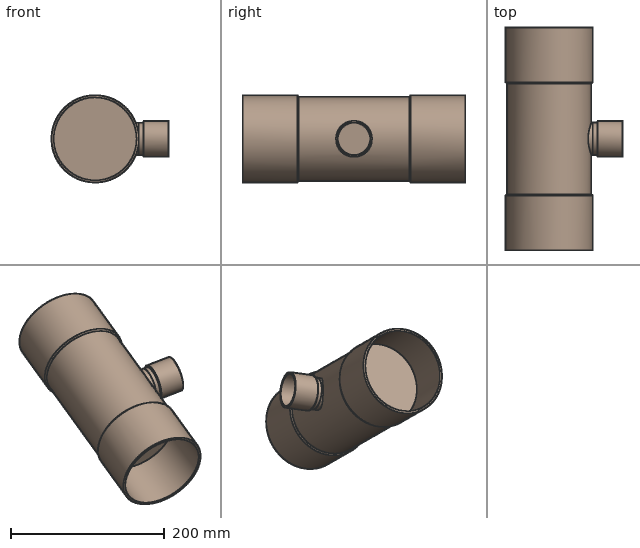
import cadquery as cq

overall_length = 290.0
pipe_diameter = 110.0
socket_diameter = 114.0
socket_bore_diameter = 108.0
socket_length = 73.0
socket_depth = 69.0
socket_chamfer = (socket_diameter - pipe_diameter) / 2

overall_width = 152.5
branch_reach = overall_width - socket_diameter / 2
neck_diameter = 42.0
collar_diameter = 42.5
collar_start = socket_diameter / 2
branch_socket_diameter = 47.0
branch_bore_diameter = 42.0
branch_socket_length = 33.0
branch_socket_depth = 32.2
branch_chamfer = 1.02


def cylinder(diameter, start, end):
    """Cylinder along Z between two heights."""
    return cq.Workplane("XY").workplane(offset=start).circle(diameter / 2).extrude(end - start)


def socket(diameter, start, end, chamfer):
    """Cylinder along Z, chamfered around the outside of its inner end."""
    return cylinder(diameter, start, end).faces("<Z").chamfer(chamfer)


def make_pipe_half():
    """One half of the main pipe, from its middle to the open socket at -Y."""
    end = overall_length / 2
    half = cylinder(pipe_diameter, 0, end)
    half = half.union(socket(socket_diameter, end - socket_length, end, socket_chamfer))
    half = half.cut(cylinder(socket_bore_diameter, end - socket_depth, end))
    return half.rotate((0, 0, 0), (1, 0, 0), 90)


def make_branch():
    """Neck, slightly wider collar and blind-bored socket."""
    socket_start = branch_reach - branch_socket_length
    branch = cylinder(neck_diameter, 0, collar_start)
    branch = branch.union(cylinder(collar_diameter, collar_start, branch_reach))
    branch = branch.union(socket(branch_socket_diameter, socket_start, branch_reach, branch_chamfer))
    branch = branch.cut(cylinder(branch_bore_diameter, branch_reach - branch_socket_depth, branch_reach))
    return branch.rotate((0, 0, 0), (0, 1, 0), 90)


front_half = make_pipe_half()
back_half = front_half.mirror("XZ")
result = front_half.union(back_half).union(make_branch())